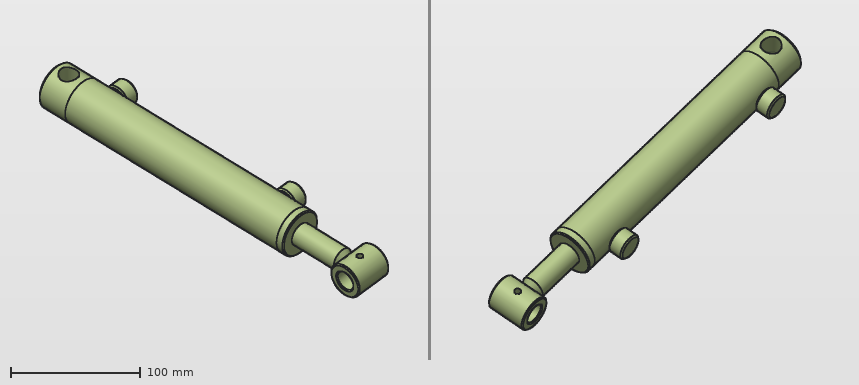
import cadquery as cq


total_length = 334.0
barrel_diameter = 40.0
cap_end_x = 28.5
barrel_end_x = 249.8
gland_end_x = 257.0
cap_chamfer = 1.7
gland_chamfer = 1.0
cap_pin_hole_x = 14.0
pin_hole_diameter = 16.5

port_positions_x = (45.8, 222.5)
port_diameter = 22.0
port_top_y = 33.0
port_base_y = 19.7
port_chamfer = 1.5

rod_diameter = 20.0
rod_tip_chamfer = 5.0
rod_tip_depth_past_eye_edge = 1.7
eye_diameter = 30.0
eye_width = 34.7
eye_chamfer = 1.0
bore_chamfer = 1.0
grease_hole_diameter = 5.5

barrel_radius = barrel_diameter / 2
eye_center_x = total_length - eye_diameter / 2
rod_end_x = eye_center_x - eye_diameter / 2 + rod_tip_depth_past_eye_edge


def cylinder_along_x(diameter, start_x, end_x):
    """Solid round bar on the X axis."""
    return cq.Workplane("YZ", origin=(start_x, 0, 0)).circle(diameter / 2).extrude(end_x - start_x)


def cylinder_along_y(diameter, center_x, start_y, end_y):
    """Solid round bar parallel to Y, at height Z = 0."""
    plane = cq.Plane(origin=(center_x, start_y, 0), xDir=(1, 0, 0), normal=(0, 1, 0))
    return cq.Workplane(plane).circle(diameter / 2).extrude(end_y - start_y)


def make_base_cap():
    """Closed end with a chamfered face and a vertical pin hole."""
    cap = cylinder_along_x(barrel_diameter, 0, cap_end_x).faces("<X").chamfer(cap_chamfer)
    pin_hole = (
        cq.Workplane("XY")
        .center(cap_pin_hole_x, 0)
        .circle(pin_hole_diameter / 2)
        .extrude(barrel_radius, both=True)
    )
    return cap.cut(pin_hole)


def make_barrel():
    """Plain round barrel between the base cap and the gland."""
    return cylinder_along_x(barrel_diameter, cap_end_x, barrel_end_x)


def make_gland():
    """Short end ring where the rod leaves the barrel."""
    return cylinder_along_x(barrel_diameter, barrel_end_x, gland_end_x).faces(">X").chamfer(gland_chamfer)


def make_port(center_x, barrel):
    """Round boss, chamfered at both ends, saddled onto the crest of the barrel."""
    boss = cylinder_along_y(port_diameter, center_x, port_base_y, port_top_y)
    boss = boss.faces("<Y or >Y").chamfer(port_chamfer)
    return boss.cut(barrel)


def make_rod():
    """Rod with a conical tip, saddled onto the round outside of the eye."""
    rod = cylinder_along_x(rod_diameter, gland_end_x, rod_end_x).faces(">X").chamfer(rod_tip_chamfer)
    return rod.cut(cylinder_along_y(eye_diameter, eye_center_x, -eye_width / 2, eye_width / 2))


def make_eye():
    """Cross tube with a chamfered pin bore along Y and a grease hole in its top wall."""
    eye = cylinder_along_y(eye_diameter, eye_center_x, -eye_width / 2, eye_width / 2)
    eye = eye.faces("<Y or >Y").chamfer(eye_chamfer)
    bore = cylinder_along_y(pin_hole_diameter, eye_center_x, -eye_width / 2, eye_width / 2)
    eye = eye.cut(bore).edges(cq.selectors.RadiusNthSelector(0)).chamfer(bore_chamfer)
    grease_hole = (
        cq.Workplane("XY")
        .center(eye_center_x, 0)
        .circle(grease_hole_diameter / 2)
        .extrude(eye_diameter / 2)
    )
    return eye.cut(grease_hole)


base_cap = make_base_cap()
barrel = make_barrel()
gland = make_gland()
ports = [make_port(center_x, barrel) for center_x in port_positions_x]
rod = make_rod()
eye = make_eye()

result = cq.Compound.makeCompound(
    [
        base_cap.val(),
        barrel.val(),
        gland.val(),
        *[port.val() for port in ports],
        rod.val(),
        eye.val(),
    ]
)